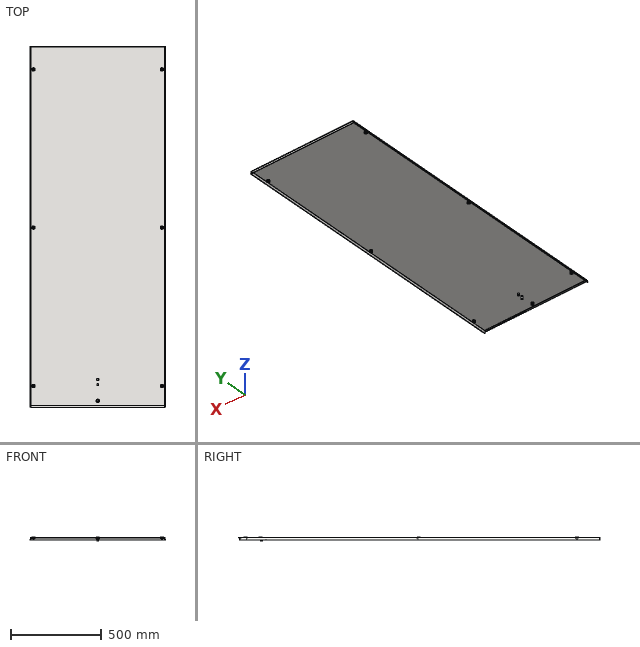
import cadquery as cq
import math

overall_width = 749.88
overall_length = 1996.05
overall_height = 22.5
sheet = 1.5
half_width = overall_width / 2
half_length = overall_length / 2

flange_drop = 15.5
flange_tilt = math.radians(18)
flange_setback = 5.0
flange_splay = flange_drop * math.tan(flange_tilt)
flat_half_width = half_width - flange_splay

hem_radius = sheet
hem_length = 13.0

side_fastener_x = 355.0
side_fastener_pitch = 875.0
side_fastener_middle_y = -3.0
front_fastener_y = -960.0
head_radius = 8.0
head_height = 1.0
recess_radius = 4.5
recess_depth = head_height / 2
shank_radius = 4.0
shank_bottom = -13.0
collar_radius = 9.0
collar_bottom = -8.0
fastener_points = [
    (side * side_fastener_x, side_fastener_middle_y + row * side_fastener_pitch)
    for side in (-1, 1)
    for row in (-1, 0, 1)
]
fastener_points.append((0, front_fastener_y))

long_stud_y = -871.0
long_stud_radius = 5.5
long_stud_bottom = head_height - overall_height
short_stud_y = -842.0
short_stud_radius = 6.0
short_stud_bottom = -12.0


def make_disc(x, y, radius, start_z, end_z):
    """Upright cylinder between two levels."""
    return cq.Workplane("XY", origin=(x, y, start_z)).circle(radius).extrude(end_z - start_z)


def make_side_flange(side):
    """Splayed flange along one long edge; side is -1 or +1."""
    top_x = side * flat_half_width
    bottom_x = side * half_width
    inward = -side * sheet / math.cos(flange_tilt)
    return (
        cq.Workplane("XZ", origin=(0, half_length, 0))
        .polyline(
            [
                (top_x, 0),
                (bottom_x, -flange_drop),
                (bottom_x + inward, -flange_drop),
                (top_x + inward, 0),
            ]
        )
        .close()
        .extrude(overall_length - flange_setback)
    )


def make_front_hem():
    """Half-round nose at the front edge with the doubled sheet behind it."""
    nose_start = -half_length + hem_radius
    hem_end = -half_length + hem_length
    return (
        cq.Workplane("YZ", origin=(-flat_half_width, 0, 0))
        .moveTo(hem_end, 0)
        .lineTo(nose_start, 0)
        .threePointArc((-half_length, -hem_radius), (nose_start, -2 * hem_radius))
        .lineTo(hem_end, -2 * hem_radius)
        .close()
        .extrude(2 * flat_half_width)
    )


def make_panel():
    """Sheet with its rear and side flanges, front hem, studs and fastener holes."""
    flat_length = overall_length - hem_radius
    flat = cq.Workplane("XY", origin=(0, half_length - flat_length / 2, -sheet / 2)).box(
        2 * flat_half_width, flat_length, sheet
    )
    rear_flange = cq.Workplane("XY", origin=(0, half_length - sheet / 2, -flange_drop / 2)).box(
        2 * flat_half_width, sheet, flange_drop
    )
    body = flat.union(rear_flange).union(make_front_hem())
    for side in (-1, 1):
        body = body.union(make_side_flange(side))
    body = body.union(make_disc(0, long_stud_y, long_stud_radius, -sheet, long_stud_bottom))
    body = body.union(make_disc(0, short_stud_y, short_stud_radius, -sheet, short_stud_bottom))
    for x, y in fastener_points:
        body = body.cut(make_disc(x, y, shank_radius, 0, -sheet))
    return body.solids()


def make_fastener(x, y):
    """Recessed head on the sheet, shank through its hole and a collar against the underside."""
    head = make_disc(x, y, head_radius, 0, head_height)
    recess = make_disc(x, y, recess_radius, head_height, head_height - recess_depth)
    shank = make_disc(x, y, shank_radius, 0, shank_bottom)
    collar = make_disc(x, y, collar_radius, -sheet, collar_bottom)
    return head.cut(recess).union(shank).union(collar).solids()


panel = make_panel()
fasteners = [make_fastener(x, y) for x, y in fastener_points]

result = cq.Compound.makeCompound([panel.val(), *[fastener.val() for fastener in fasteners]])